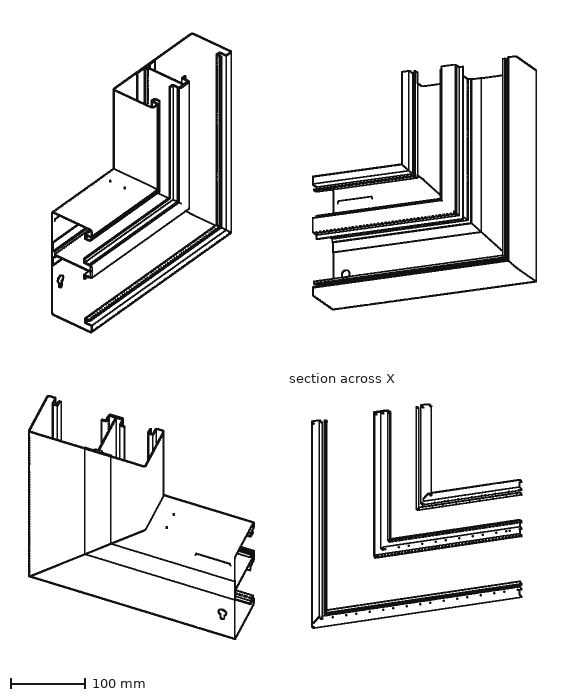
import cadquery as cq
import math

LEG_LENGTH = 299.8
DEPTH = 70.0
LEG_WIDTH = 170.0

WALL = 1.2
CORNER_RADIUS = 3.3
INNER_RADIUS = CORNER_RADIUS - WALL
LIP_HEIGHT = 13.0
LIP_RADIUS = 2.5
RAIL_THICKNESS = 1.5
RAIL_BACK = 13.0
RAIL_HEIGHT = 19.8
RAIL_RADIUS = 2.0
ARM_SETBACK = 3.5
TIP_RISE = 1.5
TIP_BEND_SETBACK = 5.7
TIP_BEND_RADIUS = 3.5
BEAD_WIDTH = 2.0
BEAD_DROP = 1.0

DIVIDER_POSITION = 100.5
PLATE_THICKNESS = 1.5
FOOT_HALF_WIDTH = 19.0
FOOT_THICKNESS = 1.2
RIDGE_HALF_WIDTH = 5.0
RIDGE_TOP = 4.8
HEAD_HALF_WIDTH = 11.0
HEAD_WALL = 1.8
HEAD_STEP = 0.5
HEAD_STEP_LENGTH = 4.8
HEAD_FRONT_WALL = 3.3
HEAD_BACK = 14.5
UPRIGHT_THICKNESS = 2.0
UPRIGHT_REACH = 16.5
HEAD_RADIUS = 1.8

KEYHOLE_Y = 18.0
KEYHOLE_Z = 48.5
KEYHOLE_RADIUS = 5.7
KEYHOLE_SLOT_WIDTH = 5.0
KEYHOLE_DROP = 10.8
NOTCH_CENTER_Y = 31.5
NOTCH_TOP_LENGTH = 49.2
NOTCH_BOTTOM_LENGTH = 51.0
NOTCH_TOP_INSET = 16.2
NOTCH_HEIGHT = 3.3
NOTCH_DEPTH = 0.5
PIN_HOLE_DIAMETER = 1.5
PIN_HOLE_XS = (16.2, 41.5)
PIN_HOLE_Y = 105.0


def rounded_outline(corners):
    """Closed outline in the XZ plane from (x, z, radius) corners, each rounded by its radius."""
    spans = []
    count = len(corners)
    for i, (x, z, radius) in enumerate(corners):
        corner = cq.Vector(x, z)
        before = cq.Vector(*corners[i - 1][:2])
        after = cq.Vector(*corners[(i + 1) % count][:2])
        to_before = (before - corner).normalized()
        to_after = (after - corner).normalized()
        half_angle = to_before.getAngle(to_after) / 2
        setback = radius / math.tan(half_angle)
        bisector = (to_before + to_after).normalized()
        middle = corner + bisector * (radius / math.sin(half_angle) - radius)
        spans.append((corner + to_before * setback, middle, corner + to_after * setback, radius))
    outline = cq.Workplane("XZ").moveTo(*spans[0][2].toTuple()[:2])
    for start, middle, end, radius in spans[1:] + spans[:1]:
        outline = outline.lineTo(start.x, start.y)
        if radius > 0:
            outline = outline.threePointArc((middle.x, middle.y), (end.x, end.y))
    return outline.close()


def horizontal_leg(corners):
    """Extrudes a section along Y and cuts its far end at 45 degrees."""
    leg = rounded_outline(corners).extrude(-LEG_LENGTH)
    mitre = (
        cq.Workplane("YZ")
        .polyline([(0, 0), (LEG_LENGTH, 0), (0, LEG_LENGTH)])
        .close()
        .extrude(DEPTH)
    )
    return leg.intersect(mitre)


def vertical_leg(leg):
    """Mirrors a horizontal leg across the mitre plane."""
    return leg.mirror(cq.Vector(0, 1, 1), (0, LEG_LENGTH, 0))


def plain_arm():
    """End of the inner rail's arm, from its underside round to its top."""
    arm_end = DEPTH - ARM_SETBACK
    return [
        (arm_end, RAIL_HEIGHT - RAIL_THICKNESS, 0),
        (arm_end, RAIL_HEIGHT, 0),
    ]


def upturned_arm():
    """End of the outer rail's arm: a bead on the underside and a tip that bends up."""
    arm_end = DEPTH - ARM_SETBACK
    arm_bottom = RAIL_HEIGHT - RAIL_THICKNESS
    bend_start = DEPTH - TIP_BEND_SETBACK
    return [
        (bend_start - BEAD_WIDTH, arm_bottom, 0),
        (bend_start - BEAD_WIDTH, arm_bottom - BEAD_DROP, 0),
        (bend_start, arm_bottom - BEAD_DROP, 0),
        (bend_start, arm_bottom, 0),
        (arm_end, arm_bottom, 0),
        (arm_end, RAIL_HEIGHT + TIP_RISE, 0),
        (bend_start, RAIL_HEIGHT, TIP_BEND_RADIUS),
    ]


def channel_half(arm):
    """Half of the channel section: back corner, side wall, front lip and rail with the given arm end."""
    rail_back = DEPTH - RAIL_BACK
    rail_inside = rail_back + RAIL_THICKNESS
    web_bottom = LIP_HEIGHT - RAIL_THICKNESS
    return [
        (0, 0, CORNER_RADIUS),
        (DEPTH, 0, CORNER_RADIUS),
        (DEPTH, LIP_HEIGHT, LIP_RADIUS),
        (rail_inside, LIP_HEIGHT, 0),
        (rail_inside, RAIL_HEIGHT - RAIL_THICKNESS, 0),
        *arm,
        (rail_back, RAIL_HEIGHT, RAIL_RADIUS),
        (rail_back, web_bottom, RAIL_RADIUS),
        (DEPTH - WALL, web_bottom, 0),
        (DEPTH - WALL, WALL, INNER_RADIUS),
        (WALL, WALL, INNER_RADIUS),
    ]


def mirrored(half, middle):
    """Mirror image of a half outline across z = middle, in reverse order."""
    return [(x, 2 * middle - z, radius) for x, z, radius in reversed(half)]


def channel_section():
    """C-shaped channel, open to +X, with a hooked rail behind each front lip."""
    outer_half = channel_half(upturned_arm())
    inner_half = channel_half(plain_arm())
    return outer_half + mirrored(inner_half, LEG_WIDTH / 2)


def divider_section():
    """Divider plate on a wide foot, with a flanged head at the open front."""
    foot_top = WALL + FOOT_THICKNESS
    upright_back = DEPTH - HEAD_BACK
    upright_front = upright_back + UPRIGHT_THICKNESS
    head_inside = HEAD_HALF_WIDTH - HEAD_WALL
    offsets = [
        (WALL, FOOT_HALF_WIDTH, 0),
        (foot_top, FOOT_HALF_WIDTH, 0),
        (foot_top, RIDGE_HALF_WIDTH, 0),
        (RIDGE_TOP, RIDGE_HALF_WIDTH, 0),
        (RIDGE_TOP, PLATE_THICKNESS / 2, 0),
        (DEPTH - HEAD_FRONT_WALL, PLATE_THICKNESS / 2, 0),
        (DEPTH - HEAD_FRONT_WALL, head_inside, 0),
        (upright_back, head_inside, HEAD_RADIUS),
        (upright_back, UPRIGHT_REACH, 0),
        (upright_front, UPRIGHT_REACH, 0),
        (upright_front, HEAD_HALF_WIDTH, 0),
        (DEPTH - HEAD_STEP_LENGTH, HEAD_HALF_WIDTH, 0),
        (DEPTH - HEAD_STEP_LENGTH, HEAD_HALF_WIDTH - HEAD_STEP, 0),
        (DEPTH, HEAD_HALF_WIDTH - HEAD_STEP, LIP_RADIUS),
    ]
    half = [(x, DIVIDER_POSITION + offset, radius) for x, offset, radius in offsets]
    return half + mirrored(half, DIVIDER_POSITION)


def keyhole():
    """Round hole with a narrower round-ended slot below it, through the back wall."""
    back = cq.Workplane("YZ").center(KEYHOLE_Y, KEYHOLE_Z)
    round_hole = back.circle(KEYHOLE_RADIUS).extrude(WALL)
    slot_length = KEYHOLE_DROP + KEYHOLE_SLOT_WIDTH
    slot = (
        back.center(0, -KEYHOLE_DROP / 2)
        .slot2D(slot_length, KEYHOLE_SLOT_WIDTH, 90)
        .extrude(WALL)
    )
    return round_hole.union(slot)


def ramp_notch():
    """Shallow trapezoidal ramp in the back face, deepest at its upper, shorter edge."""
    top = LEG_WIDTH - NOTCH_TOP_INSET
    bottom = top - NOTCH_HEIGHT
    ramp = (
        cq.Workplane("XZ")
        .polyline([(0, top), (NOTCH_DEPTH, top), (0, bottom)])
        .close()
        .extrude(-LEG_LENGTH)
    )
    outline = (
        cq.Workplane("YZ")
        .polyline([
            (NOTCH_CENTER_Y - NOTCH_BOTTOM_LENGTH / 2, bottom),
            (NOTCH_CENTER_Y + NOTCH_BOTTOM_LENGTH / 2, bottom),
            (NOTCH_CENTER_Y + NOTCH_TOP_LENGTH / 2, top),
            (NOTCH_CENTER_Y - NOTCH_TOP_LENGTH / 2, top),
        ])
        .close()
        .extrude(NOTCH_DEPTH)
    )
    return ramp.intersect(outline)


def pin_holes():
    """Two small holes through the inner side wall."""
    return (
        cq.Workplane("XY", origin=(0, 0, LEG_WIDTH - WALL))
        .pushPoints([(x, PIN_HOLE_Y) for x in PIN_HOLE_XS])
        .circle(PIN_HOLE_DIAMETER / 2)
        .extrude(WALL)
    )


plain_channel = horizontal_leg(channel_section())
vertical_channel = vertical_leg(plain_channel)
horizontal_channel = plain_channel.cut(keyhole()).cut(ramp_notch()).cut(pin_holes())

divider_leg = horizontal_leg(divider_section())
divider = divider_leg.union(vertical_leg(divider_leg))

result = cq.Compound.makeCompound([
    horizontal_channel.val(),
    vertical_channel.val(),
    divider.val(),
])